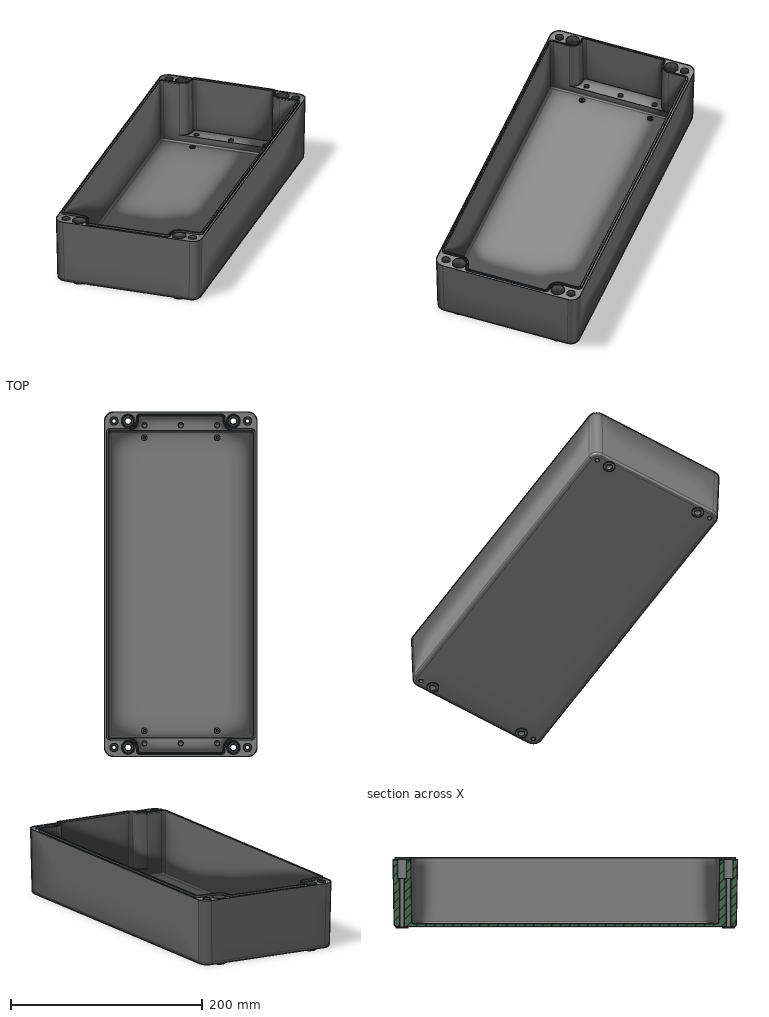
import cadquery as cq
import math

WIDTH = 159.6
LENGTH = 360.0
HEIGHT = 73.3
FOOT_HEIGHT = 1.0
FOOT_DIAMETER = 12.4
CORNER_RADIUS = 10.0
OUTER_DRAFT = 1.2
BOTTOM_FILLET = 3.5

LIP_HEIGHT = 2.0
LIP_INSET = 2.2
LIP_SIDE_THICKNESS = 1.85
LIP_END_THICKNESS = 1.0
LIP_COLUMN_THICKNESS = 1.3
LIP_CORNER_RADIUS = 4.0
LIP_COLUMN_RADIUS = 8.6
COLUMN_Y = 171.1

CAVITY_DRAFT_ANGLE = 0.8
CAVITY_CORNER_RADIUS = 3.0
FLOOR_Z = 4.4
FLOOR_FILLET = 2.0
LEDGE_Z = 13.0

SCREW_Y = 170.5
MOUNT_X = 55.0
MOUNT_HOLE_DIAMETER = 6.8
MOUNT_BORE_DIAMETER = 14.2
MOUNT_SEAT_DIAMETER = 11.6
MOUNT_SEAT_Z = 8.0
LID_X = 69.7
LID_HOLE_DIAMETER = 4.5
LID_BORE_DIAMETER = 8.6
LID_BORE_DEPTH = 20.0

LEDGE_HOLE_XS = (-38.0, 0.0, 38.0)
LEDGE_HOLE_Y = 166.1
LEDGE_HOLE_DIAMETER = 5.4
LEDGE_HOLE_DEPTH = 4.0
DRILL_TIP_ANGLE = 118.0

PAD_X = 38.0
PAD_Y = 153.0
PAD_DIAMETER = 6.0
PAD_HEIGHT = 0.5
PAD_HOLE_DIAMETER = 2.4
PAD_HOLE_DEPTH = 2.0

SHOULDER_Z = HEIGHT - LIP_HEIGHT
LIP_HALF_WIDTH = WIDTH / 2 - LIP_INSET
LIP_HALF_LENGTH = LENGTH / 2 - LIP_INSET
OVERLAP = 1.0


def mirrored_points(x, y):
    """The point (x, y) repeated in all four quadrants."""
    return [(sx * x, sy * y) for sx in (-1, 1) for sy in (-1, 1)]


def cylinders(points, diameter, z_low, z_high):
    base = cq.Workplane("XY", origin=(0, 0, z_low))
    return base.pushPoints(points).circle(diameter / 2).extrude(z_high - z_low)


def cones(points, low_diameter, high_diameter, z_low, z_high):
    cone = cq.Solid.makeCone(low_diameter / 2, high_diameter / 2, z_high - z_low)
    base = cq.Workplane("XY", origin=(0, 0, z_low)).pushPoints(points)
    return base.eachpoint(lambda place: cone.moved(place), combine=False)


def rounded_loft(low_size, high_size, radius, z_low, z_high):
    """Box with rounded vertical corners whose (width, length) changes evenly with height."""
    low = cq.Sketch().rect(*low_size).vertices().fillet(radius)
    high = cq.Sketch().rect(*high_size).vertices().fillet(radius)
    high = high.moved(cq.Location(cq.Vector(0, 0, z_high - z_low)))
    return cq.Workplane("XY", origin=(0, 0, z_low)).placeSketch(low, high).loft(ruled=True)


def opening_wire(half_width, half_length, column_radius, corner_radius, z):
    """Outline of a wide middle with a neck at each end, passing around the screw columns.

    The column arcs are centred in line with the mounting screws and run tangent into the
    neck sides and into the end walls of the wide middle.
    """
    neck = MOUNT_X - column_radius
    step = COLUMN_Y - column_radius
    diagonal = math.sqrt(0.5)
    wide_center = (half_width - corner_radius, step - corner_radius)
    neck_center = (neck - corner_radius, half_length - corner_radius)

    def arc_points(center, radius, start, middle, end):
        return [(center[0] + radius * a, center[1] + radius * b) for a, b in (start, middle, end)]

    convex = ((1, 0), (diagonal, diagonal), (0, 1))
    concave = ((0, -1), (-diagonal, -diagonal), (-1, 0))
    wide_arc = arc_points(wide_center, corner_radius, *convex)
    column_arc = arc_points((MOUNT_X, COLUMN_Y), column_radius, *concave)
    neck_arc = arc_points(neck_center, corner_radius, *convex)

    def place(points, sx, sy):
        return [cq.Vector(sx * x, sy * y, z) for x, y in points]

    edges = []
    for sx, sy in mirrored_points(1, 1):
        for arc in (wide_arc, column_arc, neck_arc):
            edges.append(cq.Edge.makeThreePointArc(*place(arc, sx, sy)))
        for line in ((wide_arc[-1], column_arc[0]), (column_arc[-1], neck_arc[0])):
            edges.append(cq.Edge.makeLine(*place(line, sx, sy)))
    for sign in (-1, 1):
        side_x, side_y = wide_arc[0]
        end_x, end_y = neck_arc[-1]
        side = place(((side_x, -side_y), (side_x, side_y)), sign, 1)
        end = place(((-end_x, end_y), (end_x, end_y)), 1, sign)
        edges.append(cq.Edge.makeLine(*side))
        edges.append(cq.Edge.makeLine(*end))
    return cq.Wire.combine(edges)[0]


def opening_loft(low_wire, high_wire):
    return cq.Workplane(cq.Solid.makeLoft([low_wire, high_wire], True))


def make_shell():
    underside = (WIDTH - 2 * OUTER_DRAFT, LENGTH - 2 * OUTER_DRAFT)
    body = rounded_loft(underside, (WIDTH, LENGTH), CORNER_RADIUS, FOOT_HEIGHT, SHOULDER_Z)
    return body.faces("<Z").edges().fillet(BOTTOM_FILLET)


def make_lip():
    def section(z):
        return opening_wire(LIP_HALF_WIDTH, LIP_HALF_LENGTH, LIP_COLUMN_RADIUS, LIP_CORNER_RADIUS, z)

    return opening_loft(section(SHOULDER_Z - OVERLAP), section(HEIGHT))


def cavity_inset(z):
    """Inward offset of the drafted cavity walls at height z, zero at the rim."""
    return (HEIGHT - z) * math.tan(math.radians(CAVITY_DRAFT_ANGLE))


def make_cavity():
    rim_half_width = LIP_HALF_WIDTH - LIP_SIDE_THICKNESS
    rim_half_length = LIP_HALF_LENGTH - LIP_END_THICKNESS
    rim_column_radius = LIP_COLUMN_RADIUS + LIP_COLUMN_THICKNESS

    def upper_section(z):
        inset = cavity_inset(z)
        return opening_wire(
            rim_half_width - inset,
            rim_half_length - inset,
            rim_column_radius + inset,
            CAVITY_CORNER_RADIUS,
            z,
        )

    def lower_size(z):
        half_width = rim_half_width - cavity_inset(z)
        half_length = COLUMN_Y - rim_column_radius - cavity_inset(z)
        return (2 * half_width, 2 * half_length)

    upper = opening_loft(upper_section(LEDGE_Z), upper_section(HEIGHT))
    lower = rounded_loft(lower_size(FLOOR_Z), lower_size(LEDGE_Z), CAVITY_CORNER_RADIUS, FLOOR_Z, LEDGE_Z)
    lower = lower.faces("<Z").edges().fillet(FLOOR_FILLET)
    return upper.union(lower).clean()


def make_mount_holes(points):
    """Through holes under deep tapered bores for the screw heads."""
    holes = cylinders(points, MOUNT_HOLE_DIAMETER, 0, HEIGHT)
    bores = cones(points, MOUNT_SEAT_DIAMETER, MOUNT_BORE_DIAMETER, MOUNT_SEAT_Z, SHOULDER_Z)
    return holes.union(bores)


def make_lid_holes():
    points = mirrored_points(LID_X, SCREW_Y)
    holes = cylinders(points, LID_HOLE_DIAMETER, 0, SHOULDER_Z)
    bores = cylinders(points, LID_BORE_DIAMETER, SHOULDER_Z - LID_BORE_DEPTH, SHOULDER_Z)
    return holes.union(bores)


def make_ledge_holes():
    points = [(x, sign * LEDGE_HOLE_Y) for x in LEDGE_HOLE_XS for sign in (-1, 1)]
    tip_depth = LEDGE_HOLE_DIAMETER / 2 / math.tan(math.radians(DRILL_TIP_ANGLE / 2))
    bottom_z = LEDGE_Z - LEDGE_HOLE_DEPTH
    holes = cylinders(points, LEDGE_HOLE_DIAMETER, bottom_z, LEDGE_Z)
    tips = cones(points, 0, LEDGE_HOLE_DIAMETER, bottom_z - tip_depth, bottom_z)
    return holes.union(tips)


mount_points = mirrored_points(MOUNT_X, SCREW_Y)
pad_points = mirrored_points(PAD_X, PAD_Y)
pad_top = FLOOR_Z + PAD_HEIGHT

result = make_shell().union(make_lip())
result = result.union(cylinders(mount_points, FOOT_DIAMETER, 0, FOOT_HEIGHT + OVERLAP))
result = result.cut(make_cavity())
result = result.cut(make_mount_holes(mount_points))
result = result.cut(make_lid_holes())
result = result.cut(make_ledge_holes())
result = result.union(cylinders(pad_points, PAD_DIAMETER, FLOOR_Z - OVERLAP, pad_top))
result = result.cut(cylinders(pad_points, PAD_HOLE_DIAMETER, pad_top - PAD_HOLE_DEPTH, pad_top))